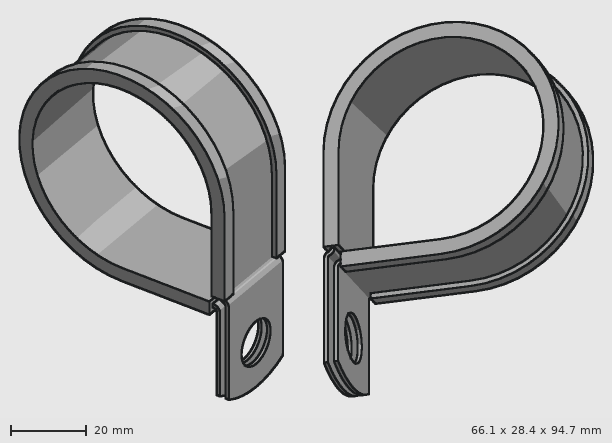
import cadquery as cq
import math

outer_diameter = 65.7
outer_radius = outer_diameter / 2
cushion_thickness = 4.3
inner_radius = outer_radius - cushion_thickness
cushion_width = 28.4
side_leg_length = 26.6
bottom_leg_length = 27.95

groove_width = 20.3
groove_depth = 1.5

strap_thickness = 1.1
strap_width = 25.4
bend_radius = 1.5
embedded_length = 1.9
outer_tab_overhang = 0.4
tab_gap = 1.7

total_height = 94.7
tab_bottom = outer_radius - total_height
tip_rise = 3.0
hole_diameter = 13.55
hole_height = 14.2

strap_offset = outer_radius - groove_depth - strap_thickness / 2
outer_tab_x = outer_radius + outer_tab_overhang - strap_thickness / 2
inner_tab_x = outer_tab_x - strap_thickness - tab_gap


def loop(inner, outer, width):
    """Three-quarter ring with its two legs, centred on Y = 0."""
    diagonal = math.sqrt(0.5)
    return (
        cq.Workplane("XZ")
        .moveTo(outer, -side_leg_length)
        .lineTo(outer, 0)
        .threePointArc((-outer * diagonal, outer * diagonal), (0, -outer))
        .lineTo(bottom_leg_length, -outer)
        .lineTo(bottom_leg_length, -inner)
        .lineTo(0, -inner)
        .threePointArc((-inner * diagonal, inner * diagonal), (inner, 0))
        .lineTo(inner, -side_leg_length)
        .close()
        .extrude(width / 2, both=True)
    )


def make_cushion():
    """Thin loop at the groove floor with a taller lip along each edge."""
    full = loop(inner_radius, outer_radius, cushion_width)
    groove = loop(outer_radius - groove_depth, outer_radius, groove_width)
    return full.cut(groove)


def make_outer_tab():
    """Strap end that steps outward from the side leg through an S-bend."""
    step = outer_tab_x - strap_offset
    bend_height = math.sqrt(step * (4 * bend_radius - step))
    bend_start = -side_leg_length
    path = (
        cq.Workplane("XZ")
        .moveTo(strap_offset, bend_start + embedded_length)
        .lineTo(strap_offset, bend_start)
        .tangentArcPoint((step / 2, -bend_height / 2))
        .tangentArcPoint((step / 2, -bend_height / 2))
        .lineTo(outer_tab_x, tab_bottom)
    )
    section = cq.Workplane("XY", origin=(strap_offset, 0, bend_start + embedded_length))
    return section.rect(strap_thickness, strap_width).sweep(path)


def make_inner_tab():
    """Strap end that turns down from the bottom leg through a right angle."""
    bend_start = inner_tab_x - bend_radius
    embedded_end = bottom_leg_length - embedded_length
    path = (
        cq.Workplane("XZ")
        .moveTo(embedded_end, -strap_offset)
        .lineTo(bend_start, -strap_offset)
        .tangentArcPoint((bend_radius, -bend_radius))
        .lineTo(inner_tab_x, tab_bottom)
    )
    section = cq.Workplane("YZ", origin=(embedded_end, 0, -strap_offset))
    return section.rect(strap_width, strap_thickness).sweep(path)


def make_tab_outline():
    """Block with a curved lower end and a bolt hole, used to trim both tabs."""
    half_width = strap_width / 2
    return (
        cq.Workplane("YZ")
        .moveTo(-half_width, 0)
        .lineTo(-half_width, tab_bottom + tip_rise)
        .threePointArc((0, tab_bottom), (half_width, tab_bottom + tip_rise))
        .lineTo(half_width, 0)
        .close()
        .moveTo(0, tab_bottom + hole_height)
        .circle(hole_diameter / 2)
        .extrude(2 * outer_radius)
    )


tabs = make_outer_tab().union(make_inner_tab()).intersect(make_tab_outline())
result = make_cushion().union(tabs)